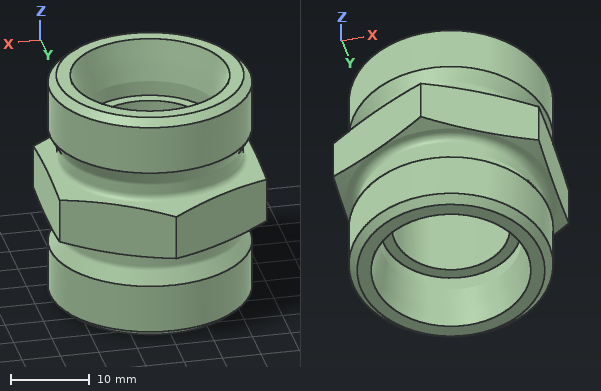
import cadquery as cq
import math


corner_diameter = 31.18
hex_height = 6.98
flat_radius = corner_diameter / 2 * math.cos(math.radians(30))
corner_chamfer_drop = 0.53

total_height = 31.0
spigot_radius = 26.0 / 2
end_face_radius = 11.95
end_chamfer_height = 0.95
shoulder_depth = 7.42
relief_radius = 23.7 / 2
relief_taper_angle = 30.0
relief_fillet = 1.0

bore_radius = 15.0 / 2
socket_radius = 18.0 / 2
socket_depth = 7.48
cone_depth = 5.45
cone_half_angle = 12.0

half_height = total_height / 2
hex_half = hex_height / 2


def make_hexagon():
    """Hexagon with corners on Y, its corners turned down by a shallow cone at both ends."""
    blank = (
        cq.Workplane("XY", origin=(0, 0, -hex_half))
        .polygon(6, corner_diameter)
        .extrude(hex_height)
        .rotate((0, 0, 0), (0, 0, 1), 30)
    )
    corner_radius = corner_diameter / 2
    edge_z = hex_half - corner_chamfer_drop
    envelope = (
        cq.Workplane("XZ")
        .moveTo(0, -hex_half)
        .lineTo(flat_radius, -hex_half)
        .lineTo(corner_radius, -edge_z)
        .lineTo(corner_radius, edge_z)
        .lineTo(flat_radius, hex_half)
        .lineTo(0, hex_half)
        .close()
        .revolve(360, (0, 0, 0), (0, 1, 0))
    )
    return blank.intersect(envelope)


def make_spigot():
    """Upper spigot with end chamfer, tapered relief and a fillet onto the hexagon."""
    shoulder_z = half_height - shoulder_depth
    taper = math.radians(relief_taper_angle)
    taper_end_z = shoulder_z - (spigot_radius - relief_radius) / math.tan(taper)

    tangent_length = relief_fillet * math.tan(taper / 2)
    blend_start = (
        relief_radius + tangent_length * math.sin(taper),
        taper_end_z + tangent_length * math.cos(taper),
    )
    blend_end = (relief_radius, taper_end_z - tangent_length)
    blend_middle = (
        relief_radius + relief_fillet * (1 - math.cos(taper / 2)),
        blend_end[1] + relief_fillet * math.sin(taper / 2),
    )

    root_middle_offset = relief_fillet * (1 - math.sqrt(0.5))
    return (
        cq.Workplane("XZ")
        .lineTo(0, half_height)
        .lineTo(end_face_radius, half_height)
        .lineTo(spigot_radius, half_height - end_chamfer_height)
        .lineTo(spigot_radius, shoulder_z)
        .lineTo(*blend_start)
        .threePointArc(blend_middle, blend_end)
        .lineTo(relief_radius, hex_half + relief_fillet)
        .threePointArc(
            (relief_radius + root_middle_offset, hex_half + root_middle_offset),
            (relief_radius + relief_fillet, hex_half),
        )
        .lineTo(relief_radius + relief_fillet, 0)
        .close()
        .revolve(360, (0, 0, 0), (0, 1, 0))
    )


def make_cavity():
    """Upper half of the through bore with its stepped socket and conical mouth."""
    socket_floor_z = half_height - socket_depth
    cone_end_z = half_height - cone_depth
    mouth_radius = socket_radius + cone_depth * math.tan(math.radians(cone_half_angle))
    return (
        cq.Workplane("XZ")
        .lineTo(bore_radius, 0)
        .lineTo(bore_radius, socket_floor_z)
        .lineTo(socket_radius, socket_floor_z)
        .lineTo(socket_radius, cone_end_z)
        .lineTo(mouth_radius, half_height)
        .lineTo(0, half_height)
        .close()
        .revolve(360, (0, 0, 0), (0, 1, 0))
    )


def both_ends(upper):
    """Join an upper half with its mirror image below the XY plane."""
    return upper.union(upper.mirror("XY"))


result = make_hexagon().union(both_ends(make_spigot())).cut(both_ends(make_cavity()))